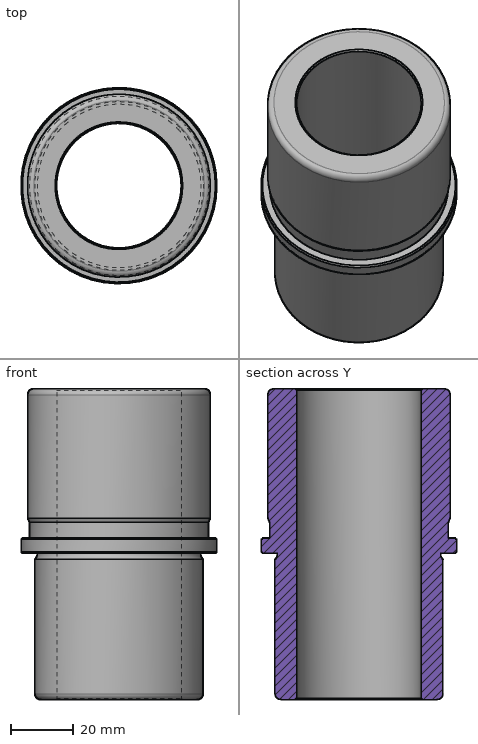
import cadquery as cq

length = 100.0
bore_radius = 20.0
bore_chamfer = 0.5

lower_radius = 27.1
lower_top = 45.1
neck_radius = 26.3

flange_radius = 31.5
flange_bottom = 47.0
flange_thickness = 5.0
flange_top = flange_bottom + flange_thickness
flange_chamfer = 0.5

upper_radius = 29.4
groove_radius = 28.8
groove_top = 57.0
upper_bottom = 58.3

end_fillet = 2.0


def cylinder(radius, bottom, top):
    return cq.Workplane("XY").workplane(offset=bottom).circle(radius).extrude(top - bottom)


def cone(bottom_radius, bottom, top_radius, top):
    profile = [(0, bottom), (bottom_radius, bottom), (top_radius, top), (0, top)]
    return cq.Workplane("XZ").polyline(profile).close().revolve(360, (0, 0), (0, 1))


def concave_neck():
    height = flange_bottom - lower_top
    step = lower_radius - neck_radius
    arc_radius = (height**2 + step**2) / (2 * step)
    profile = (
        cq.Workplane("XZ")
        .moveTo(0, lower_top)
        .lineTo(lower_radius, lower_top)
        .radiusArc((neck_radius, flange_bottom), arc_radius)
        .lineTo(0, flange_bottom)
        .close()
    )
    return profile.revolve(360, (0, 0), (0, 1))


lower_sleeve = cylinder(lower_radius, 0, lower_top).faces("<Z").edges().fillet(end_fillet)
neck = concave_neck()
flange = cylinder(flange_radius, flange_bottom, flange_top).edges().chamfer(flange_chamfer)
groove = cylinder(groove_radius, flange_top, groove_top)
upper_taper = cone(groove_radius, groove_top, upper_radius, upper_bottom)
upper_sleeve = cylinder(upper_radius, upper_bottom, length).faces(">Z").edges().fillet(end_fillet)

body = lower_sleeve
for section in (neck, flange, groove, upper_taper, upper_sleeve):
    body = body.union(section)

bore = cylinder(bore_radius, 0, length)
mouth_radius = bore_radius + bore_chamfer
bottom_mouth = cone(mouth_radius, 0, bore_radius, bore_chamfer)
top_mouth = cone(bore_radius, length - bore_chamfer, mouth_radius, length)

result = body.cut(bore).cut(bottom_mouth).cut(top_mouth)